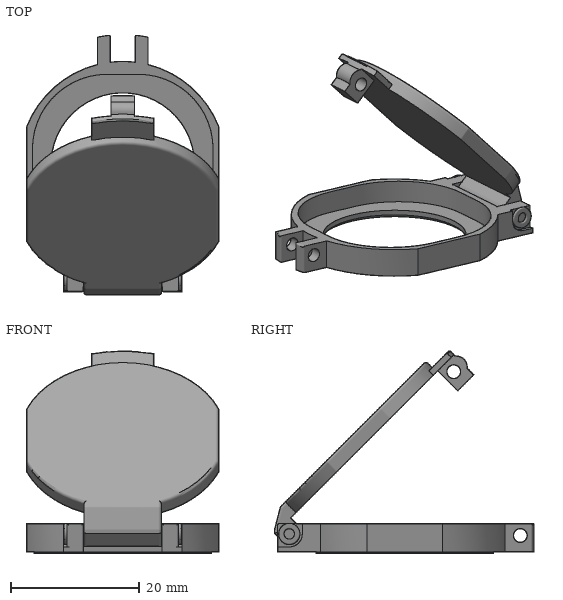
import cadquery as cq
import math

OUTER_RADIUS = 16.1
WIDTH = 30.0
HALF_WIDTH = WIDTH / 2

RING_HEIGHT = 4.4
FLOOR_THICKNESS = 1.0
HOLE_RADIUS = 11.18
HOLE_CHAMFER = 0.5
POCKET_WIDTH = 28.2
POCKET_CORNER_RADIUS = 11.65
LIP_RADIUS = 13.85
LIP_HEIGHT = 0.25

HINGE_REACH = 18.0
HINGE_DROP = 1.6
HINGE_Y = -HINGE_REACH
HINGE_Z = RING_HEIGHT - HINGE_DROP
OPEN_ANGLE = 45

LUG_INNER_X = 6.15
LUG_OUTER_X = 9.27
LUG_FRONT_Y = -19.85
SLOT_BACK_Y = -15.2
RECESS_DEPTH = 0.6
RECESS_RADIUS = 2.02
EDGE_FILLET = 0.25

PIN_RADIUS = 1.0
PIN_HEAD_RADIUS = 1.65
PIN_HEAD_THICKNESS = 0.5
PIN_HEAD_FILLET = 0.15
PIN_SOCKET_RADIUS = 0.8

ARM_INNER_X = 1.95
ARM_OUTER_X = 3.95
ARM_END_RADIUS = 20.3
LATCH_HOLE_RADIUS = 1.05
LATCH_HOLE_Y = HINGE_REACH
LATCH_HOLE_Z = 2.55

LID_THICKNESS = 2.35
LID_TOP_Z = RING_HEIGHT + LID_THICKNESS
LID_FILLET = 0.5

TONGUE_HALF_WIDTH = 6.07
BARREL_RADIUS = 1.95
TONGUE_FRONT = 1.58
TONGUE_FRONT_HEIGHT = 1.7
TONGUE_CHAMFER = 0.4
TONGUE_SLOPE_BACK = 2.0

TAB_HALF_WIDTH = 4.85
TAB_END_RADIUS = 19.92
TAB_THICKNESS = 0.97
CATCH_HALF_WIDTH = 1.85
CATCH_BACK_Y = 16.35
CATCH_DEPTH = RING_HEIGHT
BUMP_RADIUS = 1.75
BUMP_Y = 18.8


def box(x0, x1, y0, y1, z0, z1):
    """Axis-aligned block between two opposite corners."""
    return cq.Workplane("XY").box(x1 - x0, y1 - y0, z1 - z0, centered=False).translate((x0, y0, z0))


def disc(radius, z0, height):
    """Upright cylinder on the ring axis."""
    return cq.Workplane("XY").workplane(offset=z0).circle(radius).extrude(height)


def rod(x0, x1, y, z, radius):
    """Cylinder parallel to X."""
    return cq.Workplane("YZ").workplane(offset=x0).center(y, z).circle(radius).extrude(x1 - x0)


def flatted_disc(z0, height):
    """Disc with a flat on each side, the outline of ring and lid."""
    width_limit = box(-HALF_WIDTH, HALF_WIDTH, -OUTER_RADIUS, OUTER_RADIUS, z0, z0 + height)
    return disc(OUTER_RADIUS, z0, height).intersect(width_limit)


def centres_within(low, high):
    """Selector for the edges whose centre lies in the box between two corners."""
    return cq.selectors.BoxSelector(low, high)


def lug_recess():
    """Outer recess of the left lug, open at the front, at the top and to the side."""
    outer_x = -LUG_OUTER_X - RECESS_DEPTH
    floor_x = -LUG_OUTER_X + RECESS_DEPTH
    front_y = HINGE_Y - 2 * RECESS_RADIUS
    back_y = HINGE_Y + RECESS_RADIUS
    upper = box(outer_x, floor_x, front_y, back_y, HINGE_Z, 2 * RING_HEIGHT)
    lower = box(outer_x, floor_x, front_y, HINGE_Y, HINGE_Z - RECESS_RADIUS, HINGE_Z)
    return rod(outer_x, floor_x, HINGE_Y, HINGE_Z, RECESS_RADIUS).union(upper).union(lower)


def lug():
    """Left hinge lug with its recess and rounded front edges."""
    block = box(-LUG_OUTER_X, -LUG_INNER_X, LUG_FRONT_Y, 0, 0, RING_HEIGHT).cut(lug_recess())
    floor_x = -LUG_OUTER_X + RECESS_DEPTH
    recess_z = HINGE_Z - RECESS_RADIUS
    y0 = LUG_FRONT_Y - EDGE_FILLET
    y1 = LUG_FRONT_Y + EDGE_FILLET
    low_z = recess_z + EDGE_FILLET
    inner = centres_within((-LUG_INNER_X - EDGE_FILLET, y0, low_z), (0, y1, RING_HEIGHT))
    outer = centres_within((-LUG_OUTER_X, y0, low_z), (floor_x + EDGE_FILLET, y1, RING_HEIGHT))
    top = centres_within(
        (floor_x, y0, RING_HEIGHT - EDGE_FILLET),
        (-LUG_INNER_X, y1, RING_HEIGHT + EDGE_FILLET))
    return block.edges(inner + outer + top).fillet(EDGE_FILLET)


def latch_arm():
    """Left latch arm, ending on an arc around the ring axis."""
    blank = box(-ARM_OUTER_X, -ARM_INNER_X, 0, ARM_END_RADIUS, 0, RING_HEIGHT)
    arm = blank.intersect(disc(ARM_END_RADIUS, 0, RING_HEIGHT))
    return arm.faces(">Y").edges("not <Z").fillet(EDGE_FILLET)


def build_ring():
    """Ring with pocket, through hole, lip, hinge lugs and drilled latch arms."""
    ring = flatted_disc(0, RING_HEIGHT)
    for part in (lug(), latch_arm()):
        ring = ring.union(part).union(part.mirror("YZ"))
    ring = ring.union(box(-LUG_INNER_X, LUG_INNER_X, SLOT_BACK_Y, 0, 0, RING_HEIGHT))
    ring = ring.cut(box(-LUG_INNER_X, LUG_INNER_X, LUG_FRONT_Y, SLOT_BACK_Y, 0, RING_HEIGHT))
    pocket = (cq.Workplane("XY").workplane(offset=FLOOR_THICKNESS).rect(POCKET_WIDTH, POCKET_WIDTH)
              .extrude(RING_HEIGHT).edges("|Z").fillet(POCKET_CORNER_RADIUS))
    ring = ring.union(disc(LIP_RADIUS, -LIP_HEIGHT, LIP_HEIGHT)).cut(pocket)
    ring = ring.cut(disc(HOLE_RADIUS, -LIP_HEIGHT, RING_HEIGHT))
    ring = ring.faces("<Z").edges(cq.selectors.RadiusNthSelector(0)).chamfer(HOLE_CHAMFER)
    return ring.cut(rod(-ARM_OUTER_X, ARM_OUTER_X, LATCH_HOLE_Y, LATCH_HOLE_Z, LATCH_HOLE_RADIUS))


def build_pin():
    """Hinge pin with a rounded, socketed head in each lug recess."""
    head_inner_x = LUG_OUTER_X - RECESS_DEPTH
    head_outer_x = head_inner_x + PIN_HEAD_THICKNESS
    head = rod(head_inner_x, head_outer_x, HINGE_Y, HINGE_Z, PIN_HEAD_RADIUS)
    socket = rod(head_inner_x, head_outer_x, HINGE_Y, HINGE_Z, PIN_SOCKET_RADIUS)
    head = head.cut(socket).faces(">X").edges().fillet(PIN_HEAD_FILLET)
    shank = rod(-head_inner_x, head_inner_x, HINGE_Y, HINGE_Z, PIN_RADIUS)
    return shank.union(head).union(head.mirror("YZ"))


def build_tongue():
    """Hinge tongue: a barrel round the hinge axis, a sloped outer face and a chamfered flat front."""
    front = HINGE_Y - TONGUE_FRONT
    barrel_meet_z = HINGE_Z - math.sqrt(BARREL_RADIUS ** 2 - TONGUE_FRONT ** 2)
    lid_mid_z = RING_HEIGHT + LID_THICKNESS / 2
    diagonal = BARREL_RADIUS * math.sqrt(0.5)
    profile = (cq.Workplane("YZ").workplane(offset=-TONGUE_HALF_WIDTH)
               .moveTo(front, barrel_meet_z)
               .threePointArc((HINGE_Y + diagonal, HINGE_Z - diagonal), (HINGE_Y + BARREL_RADIUS, HINGE_Z))
               .lineTo(HINGE_Y + BARREL_RADIUS, RING_HEIGHT)
               .lineTo(0, RING_HEIGHT)
               .lineTo(0, LID_TOP_Z)
               .lineTo(HINGE_Y + TONGUE_SLOPE_BACK, LID_TOP_Z)
               .lineTo(front + TONGUE_CHAMFER, HINGE_Z + TONGUE_FRONT_HEIGHT + TONGUE_CHAMFER)
               .lineTo(front, HINGE_Z + TONGUE_FRONT_HEIGHT)
               .close())
    tongue = profile.extrude(2 * TONGUE_HALF_WIDTH)
    front_edges = centres_within((-HALF_WIDTH, LUG_FRONT_Y, HINGE_Z), (HALF_WIDTH, HINGE_Y, LID_TOP_Z))
    slope_and_top_edges = centres_within(
        (-HALF_WIDTH, HINGE_Y, lid_mid_z),
        (HALF_WIDTH, -OUTER_RADIUS / 4, LID_TOP_Z + LID_FILLET))
    sharp_edge = centres_within(
        (-HALF_WIDTH, LUG_FRONT_Y, RING_HEIGHT),
        (HALF_WIDTH, front + TONGUE_CHAMFER / 2, LID_TOP_Z))
    return tongue.edges(front_edges + slope_and_top_edges - sharp_edge).fillet(LID_FILLET)


def build_tab():
    """Thumb tab ending on an arc around the ring axis."""
    tab = box(-TAB_HALF_WIDTH, TAB_HALF_WIDTH, 0, TAB_END_RADIUS, RING_HEIGHT, RING_HEIGHT + TAB_THICKNESS)
    tab = tab.intersect(disc(TAB_END_RADIUS, RING_HEIGHT, TAB_THICKNESS))
    return tab.faces(">Z").edges("not <Y").fillet(EDGE_FILLET)


def build_catch():
    """Latch catch hanging from the tab, with a rounded bump on its end and a cross hole."""
    bottom_z = RING_HEIGHT - CATCH_DEPTH
    catch = box(-CATCH_HALF_WIDTH, CATCH_HALF_WIDTH, CATCH_BACK_Y, TAB_END_RADIUS, bottom_z, RING_HEIGHT)
    catch = catch.intersect(disc(TAB_END_RADIUS, bottom_z, CATCH_DEPTH))
    catch = catch.union(rod(-CATCH_HALF_WIDTH, CATCH_HALF_WIDTH, BUMP_Y, HINGE_Z, BUMP_RADIUS))
    return catch.cut(rod(-CATCH_HALF_WIDTH, CATCH_HALF_WIDTH, LATCH_HOLE_Y, LATCH_HOLE_Z, LATCH_HOLE_RADIUS))


def build_lid():
    """Lid with tongue, tab and catch, swung open about the hinge axis."""
    lid = flatted_disc(RING_HEIGHT, LID_THICKNESS).edges("|Z").fillet(LID_FILLET)
    lid = lid.faces(">Z").edges().fillet(LID_FILLET)
    lid = lid.union(build_tongue()).union(build_tab()).union(build_catch())
    pivot = (0, HINGE_Y, HINGE_Z)
    return lid.rotate(pivot, (1, HINGE_Y, HINGE_Z), OPEN_ANGLE)


result = build_ring().union(build_pin()).union(build_lid())